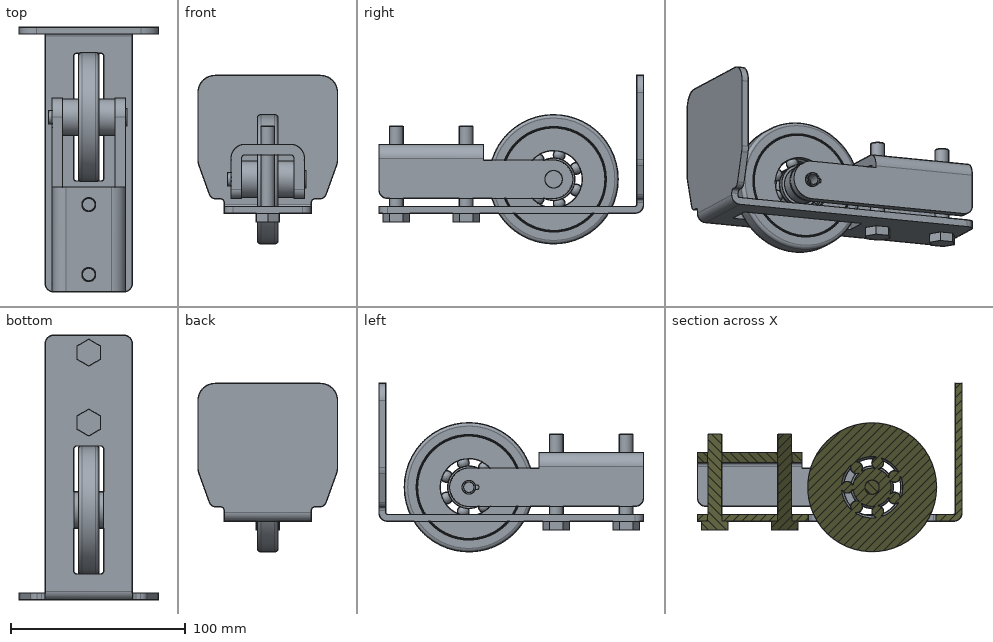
import cadquery as cq
import math



sheet = 4.0
bend_inner_radius = 1.0
bend_outer_radius = bend_inner_radius + sheet
base_width = 50.0
base_bottom = -19.5
base_top = base_bottom + sheet
base_front = -100.0
base_corner_radius = 5.0
back_face = 51.5
plate_width = 80.0
plate_top = 59.5
plate_corner_radius = 10.0
plate_straight_height = 50.0
plate_lower_width = 65.0
neck_height = 8.25
plate_lower_edge = base_bottom + neck_height
taper_upper_radius = 10.0
taper_lower_radius = 4.0
relief_radius = 2.0
slot_width = 17.0
slot_length = 73.0
slot_corner_radius = 1.5

fork_width = 42.0
fork_wall = 6.0
fork_gap = fork_width - 2 * fork_wall
fork_top = 20.0
fork_arm_radius = 11.0
fork_web_end = -40.0
fork_bend_inner_radius = 2.0
fork_bend_outer_radius = fork_bend_inner_radius + fork_wall
fork_corner_radius = 5.0
notch_radius = 1.35
notch_offset = 4.5

bolt_diameter = 8.0
bolt_tip_chamfer = 0.4
bolt_length = 50.0
bolt_head_height = 5.0
bolt_head_flats = 13.3
bolt_positions = (-50.0, -90.0)

wheel_diameter = 74.0
wheel_width = 12.0
tread_radius = 2.0
rim_groove_outer_diameter = 60.4
rim_groove_inner_diameter = 58.6
rim_groove_depth = 0.5
outer_race_diameter = 32.64
inner_race_diameter = 24.36
ball_diameter = 6.8
ball_track_diameter = 6.4
ball_count = 7

axle_diameter = 7.8
axle_bore_diameter = 6.0
axle_bore_depth = 10.0
axle_overhang = 2.0
axle_head_diameter = 10.0
axle_head_height = 1.0
spacer_diameter = 21.0
spacer_length = (fork_gap - wheel_width) / 2


def x_cylinder(diameter, x_start, length):
    """Cylinder on the wheel axis, from x_start toward +X."""
    return cq.Workplane("YZ", origin=(x_start, 0, 0)).circle(diameter / 2).extrude(length)


def round_corners(plate, half_width, height, radius):
    """Round the two mirrored plate corners that lie at the given half width and height."""
    reach = 0.01
    for x in (-half_width, half_width):
        corner = cq.selectors.BoxSelector(
            (x - reach, base_front, height - reach),
            (x + reach, back_face, height + reach),
        )
        plate = plate.edges(corner).fillet(radius)
    return plate


def make_bracket():
    """Bent sheet: a slotted base and an upright, tapered back plate."""
    inner_face = back_face - sheet
    side_profile = (
        cq.Workplane("YZ", origin=(-plate_width / 2, 0, 0))
        .moveTo(base_front, base_bottom)
        .lineTo(back_face - bend_outer_radius, base_bottom)
        .radiusArc((back_face, base_bottom + bend_outer_radius), -bend_outer_radius)
        .lineTo(back_face, plate_top)
        .lineTo(inner_face, plate_top)
        .lineTo(inner_face, base_top + bend_inner_radius)
        .radiusArc((inner_face - bend_inner_radius, base_top), bend_inner_radius)
        .lineTo(base_front, base_top)
        .close()
        .extrude(plate_width)
    )
    half_base = base_width / 2
    half_lower = plate_lower_width / 2
    half_plate = plate_width / 2
    taper_top = plate_top - plate_straight_height
    outline = (
        cq.Workplane("XZ", origin=(0, back_face, 0))
        .polyline([
            (-half_base, base_bottom),
            (half_base, base_bottom),
            (half_base, plate_lower_edge),
            (half_lower, plate_lower_edge),
            (half_plate, taper_top),
            (half_plate, plate_top),
            (-half_plate, plate_top),
            (-half_plate, taper_top),
            (-half_lower, plate_lower_edge),
            (-half_base, plate_lower_edge),
        ])
        .close()
        .extrude(back_face - base_front)
    )
    outline = round_corners(outline, half_base, plate_lower_edge, relief_radius)
    outline = round_corners(outline, half_lower, plate_lower_edge, taper_lower_radius)
    outline = round_corners(outline, half_plate, taper_top, taper_upper_radius)
    outline = round_corners(outline, half_plate, plate_top, plate_corner_radius)
    bracket = side_profile.intersect(outline)
    bracket = bracket.faces("<Y").edges("|Z").fillet(base_corner_radius)

    slot = (
        cq.Workplane("XY", origin=(0, 0, base_bottom))
        .rect(slot_width, slot_length)
        .extrude(sheet)
        .edges("|Z")
        .fillet(slot_corner_radius)
    )
    return bracket.cut(slot).cut(bolt_holes())


def bolt_holes():
    """Bolt holes through the base and the fork web."""
    return (
        cq.Workplane("XY", origin=(0, 0, base_bottom))
        .pushPoints([(0, y) for y in bolt_positions])
        .circle(bolt_diameter / 2)
        .extrude(fork_top - base_bottom)
    )


def make_fork():
    """U channel whose side walls run on as two rounded arms holding the axle."""
    channel = (
        cq.Workplane("XZ", origin=(0, fork_arm_radius, 0))
        .rect(fork_width, 2 * fork_top)
        .extrude(fork_arm_radius - base_front)
        .edges("|Y and >Z")
        .fillet(fork_bend_outer_radius)
    )
    inside = (
        cq.Workplane("XZ", origin=(0, fork_arm_radius, 0))
        .rect(fork_gap, 2 * (fork_top - fork_wall))
        .extrude(fork_arm_radius - base_front)
        .edges("|Y and >Z")
        .fillet(fork_bend_inner_radius)
    )
    side_outline = (
        cq.Workplane("YZ", origin=(-fork_width / 2, 0, 0))
        .moveTo(0, -fork_arm_radius)
        .radiusArc((0, fork_arm_radius), -fork_arm_radius)
        .lineTo(fork_web_end, fork_arm_radius)
        .lineTo(fork_web_end, fork_top)
        .lineTo(base_front, fork_top)
        .lineTo(base_front, fork_corner_radius - fork_arm_radius)
        .radiusArc((base_front + fork_corner_radius, -fork_arm_radius), -fork_corner_radius)
        .close()
        .extrude(fork_width)
    )
    fork = channel.cut(inside).intersect(side_outline)
    notch = (
        cq.Workplane("YZ", origin=(-fork_width / 2, -notch_offset, 0))
        .circle(notch_radius)
        .extrude(fork_wall)
    )
    axle_hole = x_cylinder(axle_diameter, -fork_width / 2, fork_width)
    return fork.cut(axle_hole).cut(notch).cut(bolt_holes())


def make_bolt(y):
    """Hexagon bolt entering the base from below."""
    across_corners = bolt_head_flats / math.cos(math.radians(30))
    shank = (
        cq.Workplane("XY", origin=(0, y, base_bottom))
        .circle(bolt_diameter / 2)
        .extrude(bolt_length)
        .faces(">Z")
        .chamfer(bolt_tip_chamfer)
    )
    head = (
        cq.Workplane("XY", origin=(0, y, base_bottom))
        .transformed(rotate=(0, 0, 90))
        .polygon(6, across_corners)
        .extrude(-bolt_head_height)
    )
    return shank.union(head)


def make_wheel():
    """Wheel with rounded tread, an open ball bearing and its balls, all one body."""
    half_width = wheel_width / 2
    rim = x_cylinder(wheel_diameter, -half_width, wheel_width).edges().fillet(tread_radius)
    groove_radius = (rim_groove_outer_diameter + rim_groove_inner_diameter) / 4
    for side in (-1, 1):
        face = side * half_width
        groove = (
            cq.Workplane("XY")
            .moveTo(face, rim_groove_outer_diameter / 2)
            .lineTo(face, rim_groove_inner_diameter / 2)
            .lineTo(face - side * rim_groove_depth, groove_radius)
            .close()
            .revolve(360, (0, 0), (1, 0))
        )
        rim = rim.cut(groove)
    race_gap = x_cylinder(outer_race_diameter, -half_width, wheel_width)
    race_gap = race_gap.cut(x_cylinder(inner_race_diameter, -half_width, wheel_width))
    pitch_radius = (outer_race_diameter + inner_race_diameter) / 4
    wheel_axis = cq.Vector(1, 0, 0)
    wheel_center = cq.Vector(0, 0, 0)
    track = cq.Workplane(
        cq.Solid.makeTorus(pitch_radius, ball_track_diameter / 2, wheel_center, wheel_axis)
    )
    wheel = rim.cut(race_gap).cut(track)
    wheel = wheel.cut(x_cylinder(axle_diameter, -half_width, wheel_width))
    for index in range(ball_count):
        angle = math.pi + index * 2 * math.pi / ball_count
        center = (0, pitch_radius * math.cos(angle), pitch_radius * math.sin(angle))
        ball = cq.Workplane("XY", origin=center).sphere(ball_diameter / 2, direct=(1, 0, 0))
        wheel = wheel.union(ball)
    return wheel


def make_spacer(x_start):
    """Sleeve between one bearing face and one fork arm."""
    sleeve = x_cylinder(spacer_diameter, x_start, spacer_length)
    return sleeve.cut(x_cylinder(axle_diameter, x_start, spacer_length))


def make_axle():
    """Pin through the fork with a thin head on +X and a bored end on -X."""
    pin_start = -fork_width / 2 - axle_overhang
    pin = x_cylinder(axle_diameter, pin_start, fork_width + axle_overhang)
    head = x_cylinder(axle_head_diameter, fork_width / 2, axle_head_height)
    bore = x_cylinder(axle_bore_diameter, pin_start, axle_bore_depth)
    return pin.union(head).cut(bore)


bracket = make_bracket()
fork = make_fork()
bolts = [make_bolt(y) for y in bolt_positions]
wheel = make_wheel()
spacers = [make_spacer(x) for x in (-fork_gap / 2, wheel_width / 2)]
axle = make_axle()

result = cq.Compound.makeCompound([
    body.solids().val()
    for body in (bracket, fork, *bolts, wheel, *spacers, axle)
])